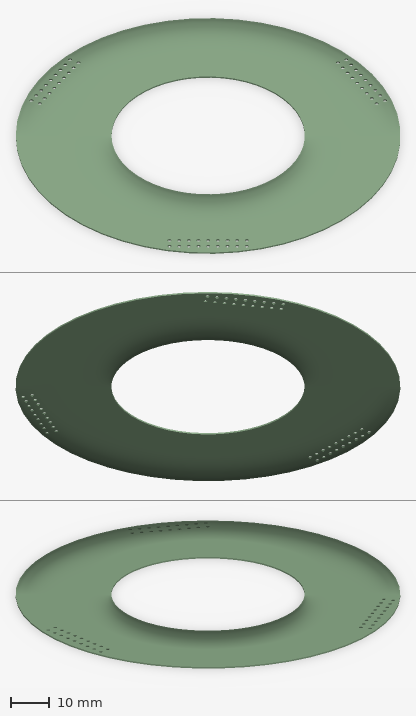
import cadquery as cq

OUTER_DIAMETER = 99.5
BORE_DIAMETER = 50.0
THICKNESS = 0.41

HOLE_DIAMETER = 1.0
HOLE_PITCH = 2.5
HOLES_PER_ROW = 9
ROWS_PER_GROUP = 2
GROUP_RADIUS = 45.75
GROUP_COUNT = 3
GROUP_ANGLE_STEP = 360.0 / GROUP_COUNT


def make_ring():
    """Flat ring centred on the Z axis, with its underside on Z = 0."""
    return (
        cq.Workplane("XY")
        .circle(OUTER_DIAMETER / 2)
        .circle(BORE_DIAMETER / 2)
        .extrude(THICKNESS)
    )


def make_hole_group(angle):
    """Cutters for one grid of holes, turned about the ring axis from the +Y side."""
    return (
        cq.Workplane("XY")
        .center(0, GROUP_RADIUS)
        .rarray(HOLE_PITCH, HOLE_PITCH, HOLES_PER_ROW, ROWS_PER_GROUP)
        .circle(HOLE_DIAMETER / 2)
        .extrude(THICKNESS)
        .rotate((0, 0, 0), (0, 0, 1), angle)
    )


result = make_ring()
for group_index in range(GROUP_COUNT):
    result = result.cut(make_hole_group(group_index * GROUP_ANGLE_STEP))